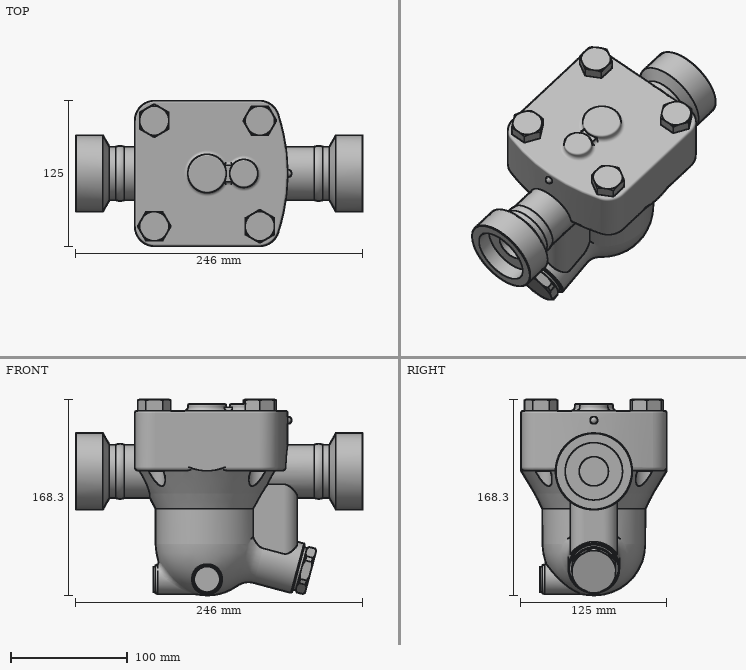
import cadquery as cq
import math


block_half_width = 62.5
block_left = -62.0
block_right = 69.1
block_corner_radius = 17.2
block_bottom = 0.5
block_top = 52.0
top_edge_radius = 2.0
bottom_edge_radius = 3.2
right_corner_x = 44.8

body_radius = 44.3
neck_top_radius = 62.2
neck_mid_radius = 51.0
neck_mid_z = -19.0
neck_bottom_z = -32.2
neck_overlap = 5.0
dome_center_z = -62.2

bolt_spacing = 90.5
bolt_head_flats = 24.5
bolt_head_height = 9.8
bolt_head_top_diameter = 25.0
bolt_pocket_radius = 9.3
bolt_pocket_depth = 19.7

pipe_left = -112.5
pipe_length = 246.0
pipe_radius = 46.0 / 2
socket_outer_radius = 66.0 / 2
socket_outer_length = 23.1
socket_cone_length = 5.7
socket_edge_chamfer = 0.5
socket_bore_radius = 49.2 / 2
socket_bore_depth = 13.0
pipe_bore_radius = 25.0 / 2
bead_start = 34.2
bead_width = 7.5
bead_height = 0.7

pad_height = 6.0
pad_root_radius = 3.2
pad_edge_radius = 1.5
main_pad_radius = 33.0 / 2
small_pad_radius = 24.0 / 2
small_pad_x = 31.5
pad_bridge_half_width = 7.1

pin_radius = 3.2
pin_z = 43.8
pin_tip_x = 72.5

plug_radius = 26.0 / 2
plug_z = -92.5
plug_shoulder = 42.0
plug_step = 44.3
plug_end = 46.2
plug_step_radius = 24.0 / 2
plug_face_radius = 22.0 / 2
plug_fillet = 5.0

boss_tilt = 15.0
boss_radius = 44.0 / 2
boss_length = 81.2
boss_chamfer = 1.0
boss_root_radius = 17.0
cap_collar_radius = 38.0 / 2
cap_collar_length = 2.5
cap_flats = 37.1
cap_corner_diameter = 40.5
cap_thickness = 8.4
cap_chamfer = 1.5

web_half_width = 20.2
web_end_x = 77.5
web_corner_radius = 11.8


def block_outline():
    """Square flange outline whose right side is one arc tangent to its corner arcs."""
    corner_y = block_half_width - block_corner_radius
    left_corner_x = block_left + block_corner_radius
    reach = block_right - right_corner_x
    side_radius = (reach**2 + corner_y**2 - block_corner_radius**2) / (2 * (reach - block_corner_radius))
    side_center_x = block_right - side_radius
    tangent_angle = math.atan2(corner_y, right_corner_x - side_center_x)
    tangent_x = side_center_x + side_radius * math.cos(tangent_angle)
    tangent_y = side_radius * math.sin(tangent_angle)
    corner_angle = (tangent_angle + math.pi / 2) / 2
    right_mid_x = right_corner_x + block_corner_radius * math.cos(corner_angle)
    right_mid_y = corner_y + block_corner_radius * math.sin(corner_angle)
    diagonal = block_corner_radius * math.sqrt(0.5)
    left_mid_x = left_corner_x - diagonal
    left_mid_y = corner_y + diagonal
    return (
        cq.Workplane("XY")
        .moveTo(left_corner_x, -block_half_width)
        .lineTo(right_corner_x, -block_half_width)
        .threePointArc((right_mid_x, -right_mid_y), (tangent_x, -tangent_y))
        .threePointArc((block_right, 0), (tangent_x, tangent_y))
        .threePointArc((right_mid_x, right_mid_y), (right_corner_x, block_half_width))
        .lineTo(left_corner_x, block_half_width)
        .threePointArc((left_mid_x, left_mid_y), (block_left, corner_y))
        .lineTo(block_left, -corner_y)
        .threePointArc((left_mid_x, -left_mid_y), (left_corner_x, -block_half_width))
        .close()
    )


def bolt_points():
    half = bolt_spacing / 2
    return [(x, y) for x in (-half, half) for y in (-half, half)]


def make_block():
    block = block_outline().extrude(block_top - block_bottom)
    block = block.faces(">Z").edges().fillet(top_edge_radius)
    block = block.faces("<Z").edges().fillet(bottom_edge_radius)
    return block.translate((0, 0, block_bottom))


def make_body():
    """Two-step conical neck, cylinder and dome, cut by the bolt pockets."""
    neck_slope = (neck_top_radius - neck_mid_radius) / -neck_mid_z
    body = (
        cq.Workplane("XZ")
        .moveTo(0, neck_overlap)
        .lineTo(neck_top_radius + neck_slope * neck_overlap, neck_overlap)
        .lineTo(neck_mid_radius, neck_mid_z)
        .lineTo(body_radius, neck_bottom_z)
        .lineTo(body_radius, dome_center_z)
        .radiusArc((0, dome_center_z - body_radius), body_radius)
        .close()
        .revolve(360, (0, 0), (0, 1))
    )
    envelope_bottom = dome_center_z - body_radius
    envelope = block_outline().extrude(block_top - envelope_bottom).translate((0, 0, envelope_bottom))
    pockets = (
        cq.Workplane("XY")
        .pushPoints(bolt_points())
        .circle(bolt_pocket_radius)
        .extrude(-bolt_pocket_depth)
    )
    return body.intersect(envelope).cut(pockets)


def make_bolt_head(x, y):
    """Hexagon head with rounded-off corners; heads on one diagonal are turned by a quarter."""
    corner_diameter = bolt_head_flats / math.cos(math.pi / 6)
    head = cq.Workplane("XY").polygon(6, corner_diameter).extrude(bolt_head_height)
    chamfer = (corner_diameter - bolt_head_top_diameter) / 2
    drop = chamfer * math.tan(math.pi / 6)
    trim = cq.Workplane("XY").circle(corner_diameter / 2).extrude(bolt_head_height)
    trim = trim.faces(">Z").chamfer(drop, chamfer)
    head = head.intersect(trim)
    if x * y < 0:
        head = head.rotate((0, 0, 0), (0, 0, 1), 90)
    return head.translate((x, y, block_top))


def make_pipe_half():
    """One pipe end with socket, cone and bead, drawn from its open end along +X."""
    cone_end = socket_outer_length + socket_cone_length
    bead_end = bead_start + bead_width
    return (
        cq.Workplane("XY")
        .moveTo(0, 0)
        .lineTo(0, socket_outer_radius - socket_edge_chamfer)
        .lineTo(socket_edge_chamfer, socket_outer_radius)
        .lineTo(socket_outer_length, socket_outer_radius)
        .lineTo(cone_end, pipe_radius)
        .lineTo(bead_start, pipe_radius)
        .threePointArc((bead_start + bead_width / 2, pipe_radius + bead_height), (bead_end, pipe_radius))
        .lineTo(pipe_length / 2, pipe_radius)
        .lineTo(pipe_length / 2, 0)
        .close()
        .revolve(360, (0, 0), (1, 0))
    )


def make_bore(depth):
    """Stepped bore of one pipe end, ending at the given depth."""
    bore = cq.Workplane("YZ").circle(socket_bore_radius).extrude(socket_bore_depth)
    return bore.union(cq.Workplane("YZ").circle(pipe_bore_radius).extrude(depth))


def at_both_ends(left_shape, right_shape):
    left = left_shape.translate((pipe_left, 0, 0))
    right = right_shape.mirror("YZ").translate((pipe_left + pipe_length, 0, 0))
    return left.union(right)


def make_pad(x, radius):
    """Round pad with a concave root and a rounded upper edge."""
    return (
        cq.Workplane("XZ")
        .moveTo(0, 0)
        .lineTo(radius + pad_root_radius, 0)
        .radiusArc((radius, pad_root_radius), pad_root_radius)
        .lineTo(radius, pad_height - pad_edge_radius)
        .radiusArc((radius - pad_edge_radius, pad_height), -pad_edge_radius)
        .lineTo(0, pad_height)
        .close()
        .revolve(360, (0, 0), (0, 1))
        .translate((x, 0, block_top))
    )


def make_pad_bridge():
    """Low bridge with concave flanks joining the two pads."""
    foot = pad_bridge_half_width + pad_root_radius
    return (
        cq.Workplane("YZ")
        .moveTo(-foot, 0)
        .lineTo(foot, 0)
        .radiusArc((pad_bridge_half_width, pad_root_radius), pad_root_radius)
        .lineTo(-pad_bridge_half_width, pad_root_radius)
        .radiusArc((-foot, 0), pad_root_radius)
        .close()
        .extrude(small_pad_x)
        .translate((0, 0, block_top))
    )


def make_pin():
    """Round-nosed pin."""
    pin = cq.Workplane("YZ").circle(pin_radius).extrude(pin_tip_x - pin_radius)
    pin = pin.union(cq.Workplane("XY").sphere(pin_radius).translate((pin_tip_x - pin_radius, 0, 0)))
    return pin.translate((0, 0, pin_z))


def make_plug():
    """Drain plug along +X from the body axis, with a bevelled shoulder and a stepped face."""
    return (
        cq.Workplane("XY")
        .moveTo(0, 0)
        .lineTo(0, plug_radius)
        .lineTo(plug_shoulder, plug_radius)
        .lineTo(plug_step, plug_step_radius)
        .lineTo(plug_step, plug_face_radius)
        .lineTo(plug_end, plug_face_radius)
        .lineTo(plug_end, 0)
        .close()
        .revolve(360, (0, 0), (1, 0))
        .translate((0, 0, plug_z))
    )


def make_boss():
    """Strainer boss along +X from the dome centre, flared into the dome, with its cap."""
    flare_y = boss_radius + boss_root_radius
    flare_reach = body_radius + boss_root_radius
    flare_x = math.sqrt(flare_reach**2 - flare_y**2)
    dome_x = flare_x * body_radius / flare_reach
    dome_y = flare_y * body_radius / flare_reach
    boss = (
        cq.Workplane("XY")
        .moveTo(0, 0)
        .lineTo(dome_x, dome_y)
        .radiusArc((flare_x, boss_radius), -boss_root_radius)
        .lineTo(boss_length - boss_chamfer, boss_radius)
        .lineTo(boss_length, boss_radius - boss_chamfer)
        .lineTo(boss_length, 0)
        .close()
        .revolve(360, (0, 0), (1, 0))
    )
    collar = cq.Workplane("YZ", origin=(boss_length, 0, 0)).circle(cap_collar_radius).extrude(cap_collar_length)
    cap_start = cq.Workplane("YZ", origin=(boss_length + cap_collar_length, 0, 0))
    hexagon = cap_start.polygon(6, cap_flats / math.cos(math.pi / 6)).extrude(cap_thickness)
    hexagon = hexagon.rotate((0, 0, 0), (1, 0, 0), 90)
    trim = cap_start.circle(cap_corner_diameter / 2).extrude(cap_thickness)
    trim = trim.faces(">X or <X").edges().chamfer(cap_chamfer)
    boss = boss.union(collar).union(hexagon.intersect(trim))
    return boss.rotate((0, 0, 0), (0, 1, 0), boss_tilt).translate((0, 0, dome_center_z))


def make_web():
    """Upright web with rounded outer corners, running from the pipe axis to the boss axis."""
    bottom = dome_center_z - web_end_x * math.tan(math.radians(boss_tilt))
    web = (
        cq.Workplane("XZ")
        .moveTo(0, 0)
        .lineTo(web_end_x, 0)
        .lineTo(web_end_x, bottom)
        .lineTo(0, dome_center_z)
        .close()
        .extrude(web_half_width, both=True)
    )
    return web.edges("|Z and >X").fillet(web_corner_radius)


result = make_body().union(make_plug().rotate((0, 0, 0), (0, 0, 1), 180))
result = result.edges("%BSPLINE").edges("<Z").fillet(plug_fillet)
result = result.union(make_plug().rotate((0, 0, 0), (0, 0, 1), -90))
result = result.union(make_boss())
result = result.union(make_web())
pipe_half = make_pipe_half()
result = result.union(at_both_ends(pipe_half, pipe_half))
result = result.union(make_block())

for bolt_x, bolt_y in bolt_points():
    result = result.union(make_bolt_head(bolt_x, bolt_y))

result = result.union(make_pad_bridge())
result = result.union(make_pad(0, main_pad_radius))
result = result.union(make_pad(small_pad_x, small_pad_radius))
result = result.union(make_pin())

left_bore = make_bore(-body_radius - pipe_left)
right_bore = make_bore(pipe_left + pipe_length - body_radius)
result = result.cut(at_both_ends(left_bore, right_bore))